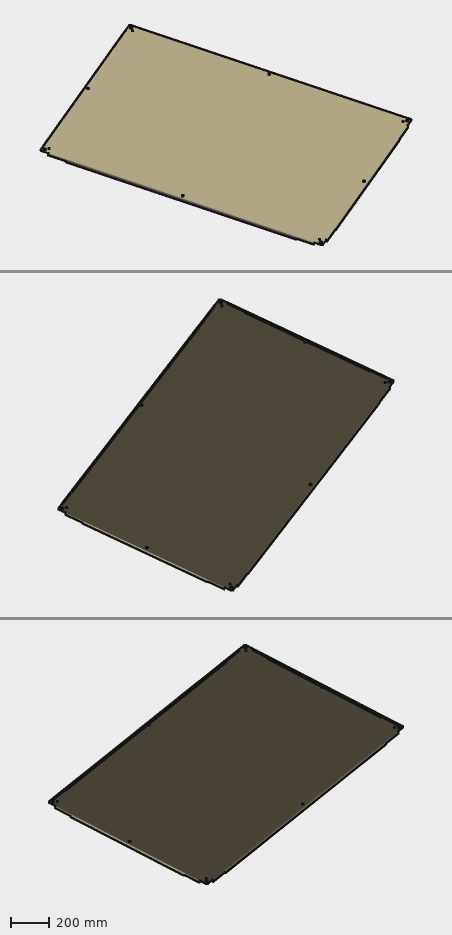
import cadquery as cq

length = 1650.0
width = 1072.0
height = 21.0

sheet = 3.0
bend_radius = 6.3
inner_radius = bend_radius - sheet

corner_gap = 51.0
tongue_gap = 155.0
band_depth = 15.0

corner_inset = 3.0
corner_radius = 7.0

large_diameter = 12.7
small_diameter = 7.1
countersink_angle = 90.0
hole_inset = 21.0
pilot_inset = 38.0


def corner_points(inset):
    """One point in each corner, at the same inset from both sides."""
    x = length / 2 - inset
    y = width / 2 - inset
    return [(sx * x, sy * y) for sx in (-1, 1) for sy in (-1, 1)]


def edge_points(inset):
    """One point at the middle of each edge."""
    x = length / 2 - inset
    y = width / 2 - inset
    return [(x, 0), (-x, 0), (0, y), (0, -y)]


def slab(size_x, size_y):
    """Centred rectangle of sheet with its top face at Z = 0."""
    return cq.Workplane("XY").rect(size_x, size_y).extrude(-sheet)


def plate():
    """Rounded sheet that stays whole in the corners and ends at the fold lines between them."""
    outline = slab(length - 2 * corner_inset, width - 2 * corner_inset)
    outline = outline.edges("|Z").fillet(corner_radius)
    kept_area = slab(length - 2 * bend_radius, width - 2 * bend_radius)
    corner_squares = (
        cq.Workplane("XY")
        .pushPoints(corner_points(corner_gap / 2))
        .rect(corner_gap, corner_gap)
        .extrude(-sheet)
    )
    return outline.intersect(kept_area.union(corner_squares))


def flange(side_length, reach):
    """Folded edge on the +X side, its outer face at X = reach, running along Y."""
    fold_start = reach - bend_radius
    band_half = side_length / 2 - corner_gap
    tongue_half = side_length / 2 - tongue_gap
    folded_strip = (
        cq.Workplane("XZ")
        .moveTo(fold_start, 0)
        .radiusArc((reach, -bend_radius), bend_radius)
        .lineTo(reach, -height)
        .lineTo(reach - sheet, -height)
        .lineTo(reach - sheet, -bend_radius)
        .radiusArc((fold_start, -sheet), -inner_radius)
        .close()
        .extrude(band_half, both=True)
    )
    stepped_outline = (
        cq.Workplane("YZ")
        .moveTo(-band_half, 0)
        .lineTo(band_half, 0)
        .lineTo(band_half, -band_depth)
        .lineTo(tongue_half, -band_depth)
        .lineTo(tongue_half, -height)
        .lineTo(-tongue_half, -height)
        .lineTo(-tongue_half, -band_depth)
        .lineTo(-band_half, -band_depth)
        .close()
        .extrude(reach)
    )
    return folded_strip.intersect(stepped_outline)


end_flange = flange(width, length / 2)
side_flange = flange(length, width / 2)
result = plate()
for folded_edge, angle in ((end_flange, 0), (side_flange, 90), (end_flange, 180), (side_flange, 270)):
    result = result.union(folded_edge.rotate((0, 0, 0), (0, 0, 1), angle))

top_plane = cq.Workplane("XY")
for points, diameter in (
    (corner_points(hole_inset), large_diameter),
    (corner_points(pilot_inset), small_diameter),
):
    result = result.cut(top_plane.pushPoints(points).circle(diameter / 2).extrude(-sheet))

result = (
    result.copyWorkplane(top_plane)
    .pushPoints(edge_points(hole_inset))
    .cskHole(small_diameter, large_diameter, countersink_angle)
)